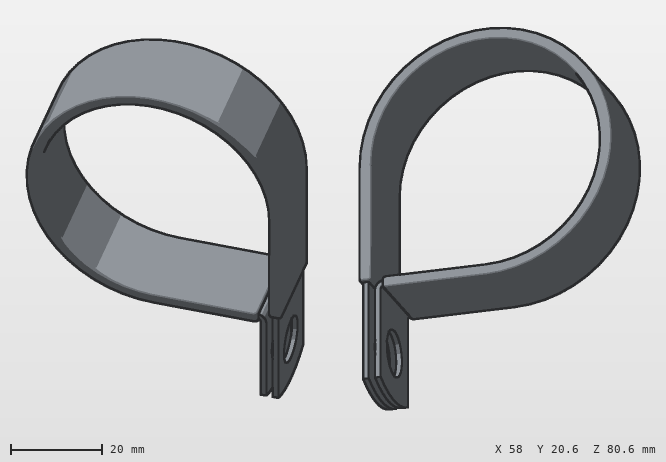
import cadquery as cq
import math

loop_radius = 29.0
cushion_thickness = 2.9
cushion_width = 20.6
edge_fillet = 0.8
side_leg_end_z = -26.9
bottom_leg_end_x = 23.7

strip_thickness = 1.3
strip_width = 19.2
bend_inner_radius = 0.8
tab_gap = 1.45

total_height = 80.6
hole_diameter = 10.5
hole_z = -40.45
tab_end_rise = 2.1

middle_radius = loop_radius - cushion_thickness / 2
tab_bottom_z = loop_radius - total_height
inner_tab_x = middle_radius - strip_thickness - tab_gap
bend_radius = bend_inner_radius + strip_thickness / 2


def loop_path(start_z):
    """Centre line up the side leg and round the loop to its lowest point."""
    diagonal = middle_radius * math.sqrt(0.5)
    return (
        cq.Workplane("XZ")
        .moveTo(middle_radius, start_z)
        .lineTo(middle_radius, 0)
        .threePointArc((-diagonal, diagonal), (0, -middle_radius))
    )


def sweep_band(path, start_z, thickness, width):
    """Sweep a flat rectangular section along a path starting on the side leg."""
    section = cq.Workplane("XY", origin=(middle_radius, 0, start_z))
    return section.rect(thickness, width).sweep(path)


def make_cushion():
    path = loop_path(side_leg_end_z).lineTo(bottom_leg_end_x, -middle_radius)
    cushion = sweep_band(path, side_leg_end_z, cushion_thickness, cushion_width)
    side_end = cq.selectors.BoxSelector(
        (0, -cushion_width, side_leg_end_z - edge_fillet),
        (loop_radius + edge_fillet, cushion_width, side_leg_end_z + edge_fillet),
    )
    bottom_end = cq.selectors.BoxSelector(
        (bottom_leg_end_x - edge_fillet, -cushion_width, -loop_radius - edge_fillet),
        (bottom_leg_end_x + edge_fillet, cushion_width, 0),
    )
    rounded = cushion.faces("<Y or >Y").edges()
    rounded = rounded.add(cushion.edges(side_end)).add(cushion.edges(bottom_end))
    return rounded.fillet(edge_fillet)


def make_strip():
    path = (
        loop_path(tab_bottom_z)
        .lineTo(inner_tab_x - bend_radius, -middle_radius)
        .tangentArcPoint((inner_tab_x, -middle_radius - bend_radius), relative=False)
        .lineTo(inner_tab_x, tab_bottom_z)
    )
    return sweep_band(path, tab_bottom_z, strip_thickness, strip_width)


def make_tab_trim():
    """Everything to keep of the strip: a slab with a bowed lower end and a hole."""
    half_width = strip_width / 2
    corner_z = tab_bottom_z + tab_end_rise
    return (
        cq.Workplane("YZ")
        .moveTo(-half_width, corner_z)
        .threePointArc((0, tab_bottom_z), (half_width, corner_z))
        .lineTo(half_width, loop_radius)
        .lineTo(-half_width, loop_radius)
        .close()
        .extrude(loop_radius, both=True)
        .cut(
            cq.Workplane("YZ", origin=(0, 0, hole_z))
            .circle(hole_diameter / 2)
            .extrude(loop_radius)
        )
    )


result = make_cushion().union(make_strip().intersect(make_tab_trim()))